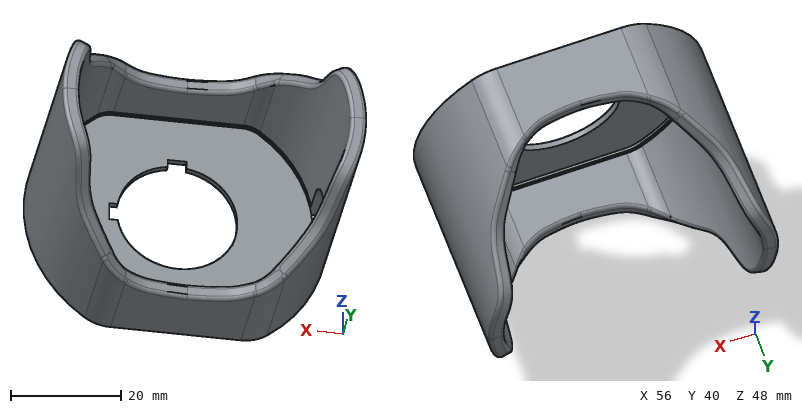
import cadquery as cq
import math

outer_radius = 28.0
half_height = 24.0
corner_radius = 8.0
wall = 3.0
floor_thickness = 2.0
rim_fillet = 0.7

hole_radius = 11.1
key_width = 3.5
key_reach = 12.5
recess_radius = 15.0
recess_depth = 0.8

ridge_start = 2.65
ridge_width = 0.4
ridge_reach = 0.2

slot_width = 10.0
slot_length = 12.0

flat_rim = [(0.0, 12.0), (5.0, 12.4), (8.5, 13.2), (12.0, 15.3)]
corner_rim = [(0.0, 15.3), (0.5, 17.2), (1.0, 19.4)]
side_rim = [
    (0.0, 19.4),
    (0.13, 22.6),
    (0.30, 26.6),
    (0.375, 29.8),
    (0.445, 35.0),
    (0.52, 38.2),
    (0.64, 39.6),
    (0.8, 39.9),
    (1.0, 40.0),
]
corner_start_slope = 0.75
corner_end_slope = 0.9

cutter_inside = wall + 1.0
cutter_outside = 1.0
cutter_height = 40.0
blank_depth = 45.0

corner_z = half_height - corner_radius
corner_x = math.sqrt((outer_radius - corner_radius) ** 2 - corner_z**2)
blend_angle = math.atan2(corner_z, corner_x)


def outline_prism(inset, start, end):
    """The cup outline moved inwards by inset, filled from y=start to y=end."""
    radius = corner_radius - inset
    body_radius = outer_radius - inset
    top = half_height - inset
    blend_x = body_radius * math.cos(blend_angle)
    blend_z = body_radius * math.sin(blend_angle)
    middle_angle = (blend_angle + math.pi / 2) / 2
    middle_x = corner_x + radius * math.cos(middle_angle)
    middle_z = corner_z + radius * math.sin(middle_angle)
    return (
        cq.Workplane("XZ", origin=(0, start, 0))
        .moveTo(-corner_x, top)
        .lineTo(corner_x, top)
        .threePointArc((middle_x, middle_z), (blend_x, blend_z))
        .threePointArc((body_radius, 0), (blend_x, -blend_z))
        .threePointArc((middle_x, -middle_z), (corner_x, -top))
        .lineTo(-corner_x, -top)
        .threePointArc((-middle_x, -middle_z), (-blend_x, -blend_z))
        .threePointArc((-body_radius, 0), (-blend_x, blend_z))
        .threePointArc((-middle_x, middle_z), (-corner_x, top))
        .close()
        .extrude(start - end)
    )


def arc_place(center_x, center_z, radius, start_angle, end_angle):
    """Makes a function of (fraction, offset) for a clockwise arc of the outline.

    It gives the (x, z) point, the direction of travel and how much the offset stretches the arc.
    """

    def place(fraction, offset):
        angle = start_angle + fraction * (end_angle - start_angle)
        reach = radius + offset
        point = (center_x + reach * math.cos(angle), center_z + reach * math.sin(angle))
        return point, (math.sin(angle), -math.cos(angle)), reach / radius

    return place


def flat_place(x, offset):
    """The same three values on the upper flat, which an offset does not stretch."""
    return (x, half_height + offset), (1.0, 0.0), 1.0


def rim_curve(place, stations, start_slope, end_slope, offset):
    """The rim heights carried onto the outline moved outwards by offset."""
    points = []
    for position, height in stations:
        (x, z), _, _ = place(position, offset)
        points.append(cq.Vector(x, height, z))
    tangents = []
    for station, slope in ((stations[0], start_slope), (stations[-1], end_slope)):
        _, (along_x, along_z), stretch = place(station[0], offset)
        tangents.append(cq.Vector(along_x * stretch, slope, along_z * stretch))
    return cq.Edge.makeSpline(points, tangents=tangents)


def rim_cutter(place, stations, start_slope, end_slope):
    """Everything above one stretch of rim, whose face stays square to the wall."""
    inside = rim_curve(place, stations, start_slope, end_slope, -cutter_inside)
    outside = rim_curve(place, stations, start_slope, end_slope, cutter_outside)
    rim_face = cq.Face.makeRuledSurface(inside, outside)
    return cq.Solid.extrudeLinear(rim_face, cq.Vector(0, cutter_height, 0))


def cut_rim(cup):
    """Cuts the three stretches of a quarter and mirrors them to the other quarters."""
    corner = arc_place(corner_x, corner_z, corner_radius, math.pi / 2, blend_angle)
    side = arc_place(0, 0, outer_radius, blend_angle, 0)
    stretches = [
        (flat_place, flat_rim, 0, corner_start_slope),
        (corner, corner_rim, corner_start_slope, corner_end_slope),
        (side, side_rim, corner_end_slope, 0),
    ]
    for stretch in stretches:
        quarter = cq.Workplane(obj=rim_cutter(*stretch))
        half = [quarter, quarter.mirror("YZ")]
        for cutter in half + [piece.mirror("XY") for piece in half]:
            cup = cup.cut(cutter)
    return cup


def add_ridge(cup):
    """A band rooted halfway into the wall and standing proud of its inner face."""
    ridge_end = ridge_start + ridge_width
    band = outline_prism(wall / 2, ridge_start, ridge_end)
    return cup.union(band.cut(outline_prism(wall + ridge_reach, ridge_start, ridge_end)))


def disc(radius, start, end):
    return cq.Workplane("XZ", origin=(0, start, 0)).circle(radius).extrude(start - end)


def cut_floor_opening(cup):
    """Shallow round recess and a through hole with keyways toward +X and +Z."""
    cup = cup.cut(disc(recess_radius, 0, recess_depth)).cut(disc(hole_radius, 0, floor_thickness))
    key_x = cq.Workplane("XY").box(key_reach, floor_thickness, key_width, centered=(False, False, True))
    key_z = cq.Workplane("XY").box(key_width, floor_thickness, key_reach, centered=(True, False, False))
    return cup.cut(key_x).cut(key_z)


def cut_slot(cup):
    """Round-ended slot through the -X wall that stops at the floor disc inside the wall."""
    radius = slot_width / 2
    straight = slot_length - radius
    slot = (
        cq.Workplane("YZ")
        .moveTo(0, -radius)
        .lineTo(straight, -radius)
        .threePointArc((slot_length, 0), (straight, radius))
        .lineTo(0, radius)
        .close()
        .extrude(-outer_radius)
    )
    return cup.cut(slot.cut(disc(outer_radius - wall, 0, floor_thickness)))


cup = outline_prism(0, 0, blank_depth).cut(outline_prism(wall, floor_thickness, blank_depth))
cup = cut_rim(cup)
cup = cup.edges("%BSPLINE").fillet(rim_fillet)
cup = add_ridge(cup)
cup = cut_floor_opening(cup)
result = cut_slot(cup)